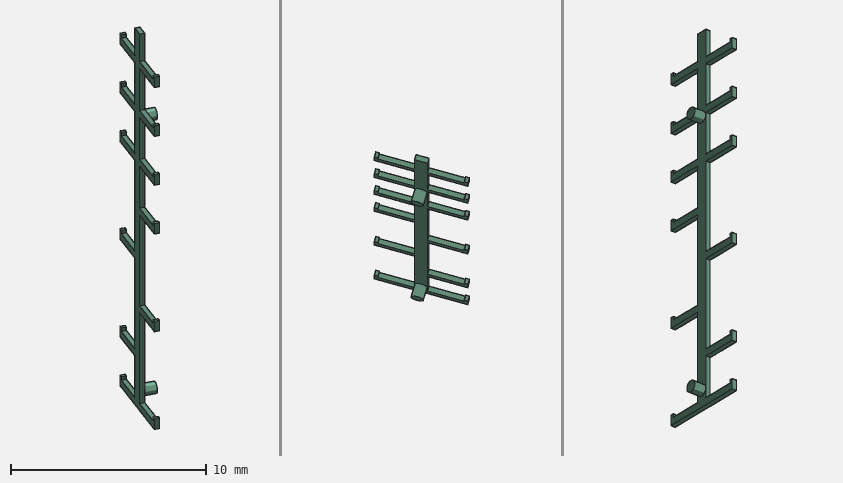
import cadquery as cq

total_height = 22
total_width = 5.0
total_depth = 1.0
plate_depth = 0.29
spine_width = 0.7

top_arm_z = 19.98
arm_height = 0.42
lip_height = 0.2
lip_width = 0.2

pin_diameter = 0.65
pin_length = total_depth - plate_depth
lower_pin_z = 1.0
pin_spacing = 16.0

left = -1
right = 1
arm_sides = [
    (left, right),
    (left,),
    (right,),
    (left,),
    (right,),
    (left, right),
    (left, right),
    (left, right),
]
arm_pitch = top_arm_z / (len(arm_sides) - 1)


def plate_block(width, height, center_x, bottom_z):
    """Block of full plate depth, with its front face at y = 0."""
    block = cq.Workplane("XY").box(width, plate_depth, height, centered=(True, False, False))
    return block.translate((center_x, 0, bottom_z))


def hooked_arm(side, bottom_z):
    """Arm from the spine centreline to the outer edge, ending in an upturned lip."""
    reach = total_width / 2
    bar = plate_block(reach, arm_height, side * reach / 2, bottom_z)
    lip_center_x = side * (reach - lip_width / 2)
    lip = plate_block(lip_width, arm_height + lip_height, lip_center_x, bottom_z)
    return bar.union(lip)


def mounting_pin(center_z):
    """Round pin standing on the back face of the spine."""
    pin = cq.Workplane("XZ", origin=(0, plate_depth, center_z)).circle(pin_diameter / 2)
    return pin.extrude(-pin_length)


result = plate_block(spine_width, total_height, 0, 0)

for level, sides in enumerate(arm_sides):
    for side in sides:
        result = result.union(hooked_arm(side, level * arm_pitch))

for pin_z in (lower_pin_z, lower_pin_z + pin_spacing):
    result = result.union(mounting_pin(pin_z))